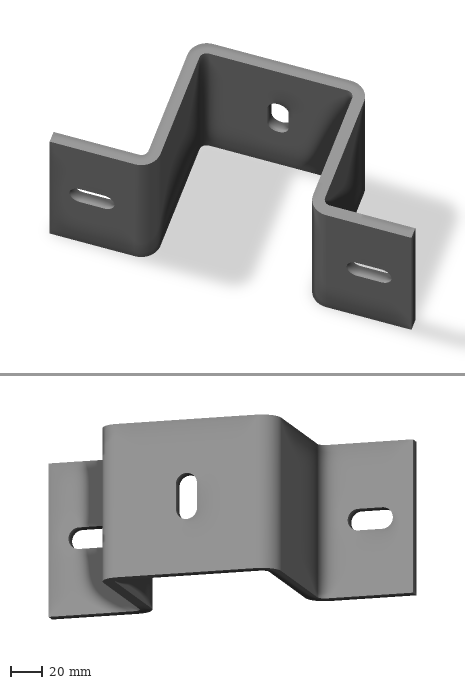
import cadquery as cq

total_width = 242.0
depth = 105.0
height = 100.0
thickness = 8.0
channel_width = 118.0
inner_radius = 4.8
outer_radius = inner_radius + thickness

slot_length = 30.0
slot_width = 14.0
flange_slot_offset = 92.7

half_width = total_width / 2
half_channel = channel_width / 2
half_opening = half_channel - thickness


def hat_strip():
    """Bent strip: two flanges at the front joined by a U-shaped channel."""
    outline = [
        (-half_width, 0),
        (-half_opening, 0),
        (-half_opening, depth - thickness),
        (half_opening, depth - thickness),
        (half_opening, 0),
        (half_width, 0),
        (half_width, thickness),
        (half_channel, thickness),
        (half_channel, depth),
        (-half_channel, depth),
        (-half_channel, thickness),
        (-half_width, thickness),
    ]
    return cq.Workplane("XY").polyline(outline).close().extrude(height)


def round_bends(body):
    """Round both faces of all four bends about common bend centers."""
    for side in (-1, 1):
        inside_corners = [
            (side * half_opening, depth - thickness),
            (side * half_channel, thickness),
        ]
        outside_corners = [
            (side * half_channel, depth),
            (side * half_opening, 0),
        ]
        for corners, radius in ((inside_corners, inner_radius), (outside_corners, outer_radius)):
            for x, y in corners:
                corner_edge = cq.selectors.NearestToPointSelector((x, y, height / 2))
                body = body.edges("|Z").edges(corner_edge).fillet(radius)
    return body


def slot_cutter(x, y, angle):
    """Obround cutter through one sheet thickness, starting at depth y."""
    return (
        cq.Workplane("XZ", origin=(x, y, height / 2))
        .slot2D(slot_length, slot_width, angle)
        .extrude(-thickness)
    )


result = round_bends(hat_strip())

for side in (-1, 1):
    result = result.cut(slot_cutter(side * flange_slot_offset, 0, 0))

result = result.cut(slot_cutter(0, depth - thickness, 90))